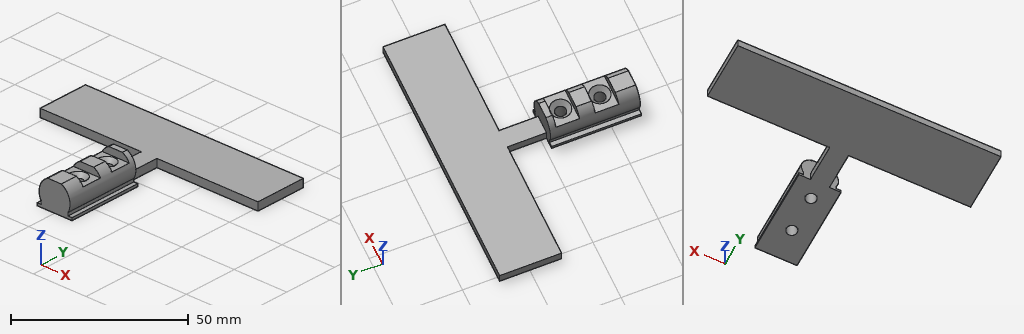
import cadquery as cq
import math

total_length = 58.5
plate_width = 83.0
plate_depth = 19.0
plate_thickness = 3.0
arm_width = 6.0

rail_length = 27.55
rail_height = 10.3
rail_radius = 5.9
top_flat_width = 5.15
neck_width = 10.3
flange_width = 13.3
flange_thickness = 1.0

seat_count = 2
seat_length = 7.2
seat_depth = 2.5
seat_pitch = 12.0
first_seat_setback = 2.0
hole_diameter = 3.4
countersink_diameter = 6.3
countersink_angle = 90.0

plate_start = total_length - plate_depth
seat_floor = rail_height - seat_depth


def make_plate_and_arm():
    plate = cq.Workplane("XY").box(
        plate_width, plate_depth, plate_thickness, centered=(True, False, False)
    ).translate((0, plate_start, 0))
    arm = cq.Workplane("XY").box(
        arm_width, plate_start - rail_length, plate_thickness, centered=(True, False, False)
    ).translate((0, rail_length, 0))
    return plate.union(arm)


def make_rail():
    half_flange = flange_width / 2
    half_neck = neck_width / 2
    half_flat = top_flat_width / 2
    center_height = rail_height - math.sqrt(rail_radius**2 - half_flat**2)
    neck_top = center_height - math.sqrt(rail_radius**2 - half_neck**2)
    profile = (
        cq.Workplane("XZ")
        .moveTo(-half_flange, 0)
        .lineTo(half_flange, 0)
        .lineTo(half_flange, flange_thickness)
        .lineTo(half_neck, flange_thickness)
        .lineTo(half_neck, neck_top)
        .threePointArc((rail_radius, center_height), (half_flat, rail_height))
        .lineTo(-half_flat, rail_height)
        .threePointArc((-rail_radius, center_height), (-half_neck, neck_top))
        .lineTo(-half_neck, flange_thickness)
        .lineTo(-half_flange, flange_thickness)
        .close()
    )
    return profile.extrude(-rail_length)


def cut_screw_seat(body, seat_center):
    pocket = cq.Workplane("XY").box(
        flange_width, seat_length, seat_depth, centered=(True, True, False)
    ).translate((0, seat_center, seat_floor))
    return (
        body.cut(pocket)
        .copyWorkplane(cq.Workplane("XY", origin=(0, seat_center, seat_floor)))
        .cskHole(hole_diameter, countersink_diameter, countersink_angle, depth=seat_floor)
    )


result = make_plate_and_arm().union(make_rail())
first_seat_center = rail_length - first_seat_setback - seat_length / 2
for seat in range(seat_count):
    result = cut_screw_seat(result, first_seat_center - seat * seat_pitch)